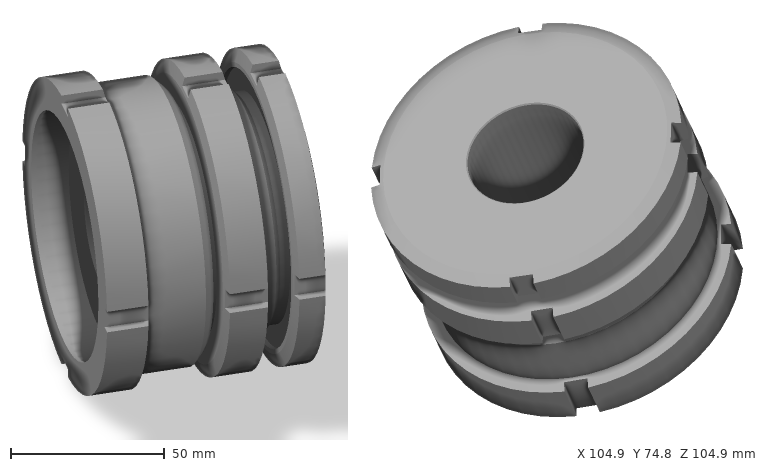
import cadquery as cq

flange_radius = 105.0 / 2
flange_chamfer_radius = 48.0
flange_chamfer_length = 1.2
slot_floor_radius = 49.2
slot_count = 4
slot_width = 8.0
nut_slot_width = 7.3

thread_radius = 40.1
thread_chamfer_radius = 38.9
front_thread_chamfer_length = 1.9
back_thread_chamfer_length = 1.2

housing_length = 38.0
housing_flange_length = 15.1
housing_body_radius = flange_chamfer_radius
housing_chamfer = 3.5
recess_radius = 41.5
recess_depth = housing_flange_length

nut_start = 40.3
nut_length = 15.1

screw_front = 12.0
screw_back = 74.8
head_length = 11.1
neck_radius = 38.5
neck_length = 1.6
runout_length = 0.5
head_recess_radius = 46.5
head_recess_depth = 1.8
bore_radius = 19.6
bore_chamfer = 0.4
screw_turn = -1.65


def ring(profile):
    """Revolve a closed (radius, y) profile about the Y axis."""
    points = [(-radius, y) for radius, y in profile]
    return cq.Workplane("XY").polyline(points).close().revolve(360, (0, 0, 0), (0, 1, 0))


def cut_spanner_slots(body, y_start, length, width):
    """Cut equally spaced square slots into the rim of a flange."""
    depth = flange_radius - slot_floor_radius
    cutter_depth = 2 * depth
    cutter = cq.Workplane("XY").box(cutter_depth, length, width, centered=(False, False, True))
    cutter = cutter.translate((slot_floor_radius, y_start, 0))
    for i in range(slot_count):
        body = body.cut(cutter.rotate((0, 0, 0), (0, 1, 0), i * 360 / slot_count))
    return body


def make_housing():
    flange_chamfer_start = housing_flange_length - flange_chamfer_length
    body = ring([
        (recess_radius, 0),
        (flange_radius, 0),
        (flange_radius, flange_chamfer_start),
        (flange_chamfer_radius, housing_flange_length),
        (housing_body_radius, housing_length - housing_chamfer),
        (housing_body_radius - housing_chamfer, housing_length),
        (thread_radius, housing_length),
        (thread_radius, recess_depth),
        (recess_radius, recess_depth),
    ])
    return cut_spanner_slots(body, 0, housing_flange_length, slot_width)


def make_lock_nut():
    nut_end = nut_start + nut_length
    body = ring([
        (thread_radius, nut_start),
        (flange_chamfer_radius, nut_start),
        (flange_radius, nut_start + flange_chamfer_length),
        (flange_radius, nut_end - flange_chamfer_length),
        (flange_chamfer_radius, nut_end),
        (thread_radius, nut_end),
    ])
    return cut_spanner_slots(body, nut_start, nut_length, nut_slot_width)


def make_screw():
    head_start = screw_back - head_length
    recess_floor = head_start + head_recess_depth
    neck_start = head_start - neck_length
    thread_end = neck_start - runout_length
    body = ring([
        (bore_radius + bore_chamfer, screw_front),
        (thread_chamfer_radius, screw_front),
        (thread_radius, screw_front + front_thread_chamfer_length),
        (thread_radius, thread_end - back_thread_chamfer_length),
        (thread_chamfer_radius, thread_end),
        (neck_radius, neck_start),
        (neck_radius, recess_floor),
        (head_recess_radius, recess_floor),
        (head_recess_radius, head_start),
        (flange_chamfer_radius, head_start),
        (flange_radius, head_start + flange_chamfer_length),
        (flange_radius, screw_back - flange_chamfer_length),
        (flange_chamfer_radius, screw_back),
        (bore_radius + bore_chamfer, screw_back),
        (bore_radius, screw_back - bore_chamfer),
        (bore_radius, screw_front + bore_chamfer),
    ])
    body = cut_spanner_slots(body, head_start, head_length, slot_width)
    return body.rotate((0, 0, 0), (0, 1, 0), screw_turn)


housing = make_housing()
lock_nut = make_lock_nut()
screw = make_screw()

result = cq.Compound.makeCompound([housing.val(), lock_nut.val(), screw.val()])